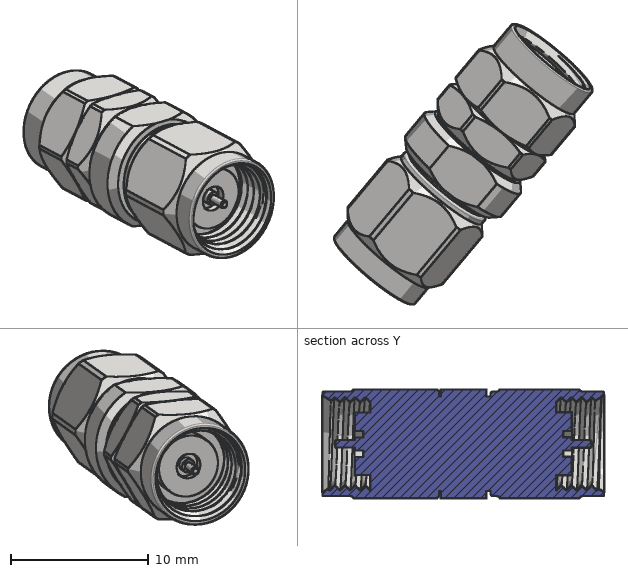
import cadquery as cq
import math


LENGTH = 20.57
ACROSS_FLATS = 7.95
TUBE_RADIUS = 3.83
RIM_ROUND = 0.12

LEFT_NUT = (2.14, 8.54)
LEFT_NUT_RADIUS = 4.5
RIGHT_NUT = (12.8, 18.9)
RIGHT_NUT_RADIUS = 4.46
NUT_END_ANGLE = 40.0
GROOVE_X = 5.99
GROOVE_RADIUS = 3.95
GROOVE_ANGLE = 60.0

NECK_RADIUS = 3.48
COLLAR = (8.64, 11.97)
COLLAR_RADIUS = 4.57
COLLAR_CHAMFER = 0.55
RING_START = 12.25
RING_ROUND = 0.2

MOUTH_RADIUS = 3.52
BORE_RADIUS = 3.02
ENTRY_DEPTH = 0.85
SOCKET_DEPTH = 3.5
PLUG_RADIUS = 2.3
PLUG_DEPTH = 2.37
RECESS_RADIUS = 0.93
RECESS_DEPTH = 2.98
SHOULDER_RADIUS = 0.5
PIN_RADIUS = 0.29
PIN_TIP_DEPTH = 0.95
PIN_CHAMFER = 0.08

THREAD_PITCH = 0.75
THREAD_ROOT_RADIUS = 3.4
SPIRAL_POINTS = 8


def revolve(points):
    """Solid of revolution about X from (x, radius) points."""
    return cq.Workplane("XY").polyline(points).close().revolve(360, (0, 0), (1, 0))


def cylinder(start, end, radius):
    return cq.Workplane("YZ", origin=(start, 0, 0)).circle(radius).extrude(end - start)


def nut(span, corner_radius):
    """Hexagon with flats up and down, its corners trimmed round and its ends coned."""
    start, end = span
    cone = (corner_radius - TUBE_RADIUS) / math.tan(math.radians(NUT_END_ANGLE))
    corner_diameter = ACROSS_FLATS / math.cos(math.pi / 6)
    hexagon = cq.Workplane("YZ", origin=(start, 0, 0)).polygon(6, corner_diameter).extrude(end - start)
    envelope = revolve([
        (start, 0),
        (start, TUBE_RADIUS),
        (start + cone, corner_radius),
        (end - cone, corner_radius),
        (end, TUBE_RADIUS),
        (end, 0),
    ])
    return hexagon.intersect(envelope)


def nut_groove():
    half_width = (LEFT_NUT_RADIUS - GROOVE_RADIUS) / math.tan(math.radians(GROOVE_ANGLE))
    return revolve([
        (GROOVE_X - half_width, LEFT_NUT_RADIUS),
        (GROOVE_X, GROOVE_RADIUS),
        (GROOVE_X + half_width, LEFT_NUT_RADIUS),
    ])


def collar():
    """Chamfered disc with a flat on its top and bottom."""
    start, end = COLLAR
    width = end - start
    disc = cylinder(start, end, COLLAR_RADIUS).edges("%CIRCLE").chamfer(COLLAR_CHAMFER)
    flats = cq.Workplane("XY").box(width, 2 * COLLAR_RADIUS, ACROSS_FLATS)
    return disc.intersect(flats.translate((start + width / 2, 0, 0)))


def threaded_bore():
    """Socket space with a sharp-crested thread: a spiral cross-section twisted along X."""

    def spiral(turn):
        radius = THREAD_ROOT_RADIUS - (THREAD_ROOT_RADIUS - BORE_RADIUS) * abs(turn)
        angle = math.pi * turn
        return radius * math.cos(angle), radius * math.sin(angle)

    section = cq.Workplane("YZ")
    for first, last in ((-1, 0), (0, 1)):
        section = section.parametricCurve(
            spiral, N=SPIRAL_POINTS, start=first, stop=last, makeWire=False
        )
    outline = section.consolidateWires().val()
    turns = SOCKET_DEPTH / THREAD_PITCH
    return cq.Workplane("YZ").add(outline).toPending().twistExtrude(SOCKET_DEPTH, 360 * turns)


def core():
    """Material standing in the socket: recessed plug, shoulder and pin."""
    plug = revolve([
        (PLUG_DEPTH, SHOULDER_RADIUS),
        (RECESS_DEPTH, SHOULDER_RADIUS),
        (RECESS_DEPTH, RECESS_RADIUS),
        (PLUG_DEPTH, RECESS_RADIUS),
        (PLUG_DEPTH, PLUG_RADIUS),
        (SOCKET_DEPTH, PLUG_RADIUS),
        (SOCKET_DEPTH, 0),
        (PLUG_DEPTH, 0),
    ])
    pin = cylinder(PIN_TIP_DEPTH, PLUG_DEPTH, PIN_RADIUS).faces("<X").chamfer(PIN_CHAMFER)
    return plug.union(pin)


def socket():
    """Space removed at the left end."""
    mouth = revolve([
        (0, 0),
        (0, MOUTH_RADIUS),
        (ENTRY_DEPTH, BORE_RADIUS),
        (ENTRY_DEPTH, 0),
    ])
    return threaded_bore().union(mouth).cut(core())


left_sleeve = cylinder(0, LEFT_NUT[1], TUBE_RADIUS).faces("<X").edges().fillet(RIM_ROUND)
right_sleeve = cylinder(RING_START, LENGTH, TUBE_RADIUS)
right_sleeve = right_sleeve.faces("<X").edges().fillet(RING_ROUND)
right_sleeve = right_sleeve.faces(">X").edges().fillet(RIM_ROUND)
neck = cylinder(LEFT_NUT[0], RIGHT_NUT[1], NECK_RADIUS)

body = neck.union(left_sleeve).union(right_sleeve)
body = body.union(nut(LEFT_NUT, LEFT_NUT_RADIUS)).cut(nut_groove())
body = body.union(nut(RIGHT_NUT, RIGHT_NUT_RADIUS))
body = body.union(collar())

left_socket = socket()
right_socket = left_socket.rotate((0, 0, 0), (0, 0, 1), 180).translate((LENGTH, 0, 0))
result = body.cut(left_socket).cut(right_socket)